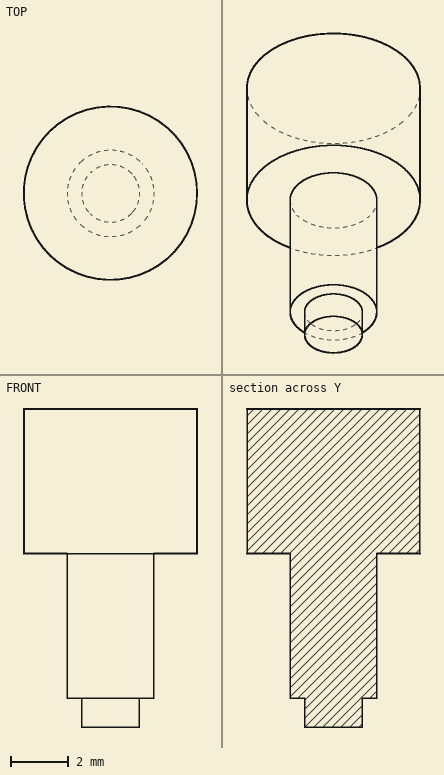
import cadquery as cq

total_height = 11.0
tip_height = 1.0
head_diameter = 6.0
shank_diameter = head_diameter / 2
tip_diameter = head_diameter / 3

shank_height = (total_height - tip_height) / 2
head_height = shank_height

tip = cq.Workplane("XY").circle(tip_diameter / 2).extrude(tip_height)
tip_and_shank = tip.faces(">Z").workplane().circle(shank_diameter / 2).extrude(shank_height)
result = tip_and_shank.faces(">Z").workplane().circle(head_diameter / 2).extrude(head_height)